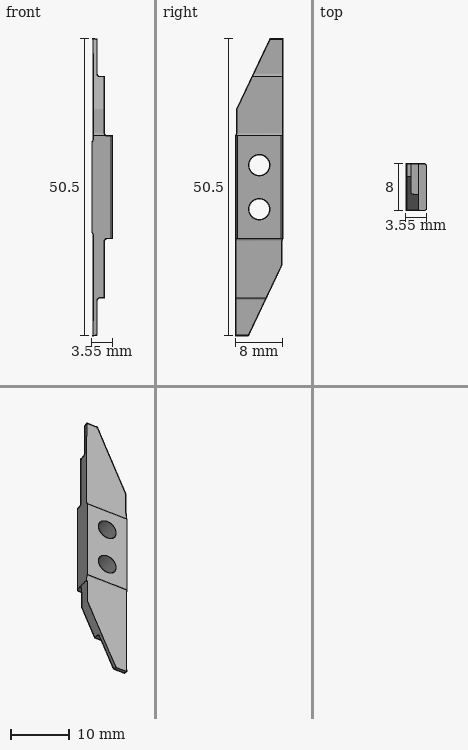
import cadquery as cq
import math

length = 50.5
width = 8.0
thickness = 3.55
half_length = length / 2
half_width = width / 2

pad_relief = 0.2
tip_relief = 0.15
lean_start = 22.3
tip_back = 0.9
arm_back = 2.1
block_end = 8.75
tip_start = 18.8
tip_slant = 0.15
step_fillet = 0.45
pad_end = 7.7
pad_blend = 0.45

taper_start = 13.25
taper_end_y = 1.85
side_relief = 0.15
taper_corner_radius = 0.5
side_blend = 0.6

hole_diameter = 3.55
hole_spacing = 7.45
back_chamfer = 0.3


def blend_middle(depth, run):
    """Middle of a concave arc of given depth and run, measured from its tangent end."""
    radius = (depth**2 + run**2) / (2 * depth)
    half_angle = math.asin(run / radius) / 2
    return radius * (1 - math.cos(half_angle)), radius * math.sin(half_angle)


def make_side_profile():
    """Upper half of the stepped thickness profile, extruded across the width."""
    rise, run = blend_middle(pad_relief, pad_blend)
    blend_top = pad_end + pad_blend
    fillet_mid = step_fillet * (1 - math.sqrt(0.5))
    profile = (
        cq.Workplane("XZ")
        .moveTo(0, 0)
        .lineTo(0, pad_end)
        .threePointArc((pad_relief - rise, blend_top - run), (pad_relief, blend_top))
        .lineTo(pad_relief, lean_start)
        .lineTo(tip_relief, half_length)
        .lineTo(tip_back, half_length - tip_slant)
        .lineTo(tip_back, tip_start + step_fillet)
        .threePointArc(
            (tip_back + fillet_mid, tip_start + fillet_mid),
            (tip_back + step_fillet, tip_start),
        )
        .lineTo(arm_back, tip_start)
        .lineTo(arm_back, block_end + step_fillet)
        .threePointArc(
            (arm_back + fillet_mid, block_end + fillet_mid),
            (arm_back + step_fillet, block_end),
        )
        .lineTo(thickness, block_end)
        .lineTo(thickness, 0)
        .close()
    )
    return profile.extrude(half_width, both=True)


def make_arm_outline():
    """Upper half of the width outline, tapered on the -Y side."""
    arm_side = -half_width + side_relief
    rise, run = blend_middle(side_relief, side_blend)
    blend_top = block_end + side_blend
    outline = (
        cq.Workplane("YZ")
        .moveTo(half_width, 0)
        .lineTo(half_width, half_length)
        .lineTo(taper_end_y, half_length)
        .lineTo(arm_side, taper_start)
        .lineTo(arm_side, blend_top)
        .threePointArc((arm_side - rise, blend_top - run), (-half_width, block_end))
        .lineTo(-half_width, 0)
        .close()
    )
    arm = outline.extrude(thickness)
    corner = cq.selectors.NearestToPointSelector((thickness / 2, arm_side, taper_start))
    return arm.edges(corner).fillet(taper_corner_radius)


upper_half = make_side_profile().intersect(make_arm_outline())
lower_half = upper_half.rotate((0, 0, 0), (1, 0, 0), 180)
body = upper_half.union(lower_half, clean=True)

body = body.faces(">X").edges("|Z").chamfer(back_chamfer)

holes = (
    cq.Workplane("YZ")
    .rarray(0.5, hole_spacing, 1, 2)
    .circle(hole_diameter / 2)
    .extrude(thickness)
)
result = body.cut(holes)